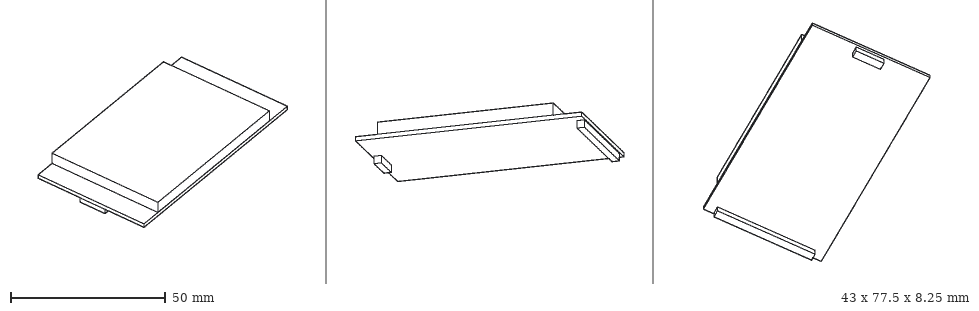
import cadquery as cq

BOARD_WIDTH = 43.0
BOARD_LENGTH = 77.5
BOARD_THICKNESS = 1.5

DISPLAY_HEIGHT = 4.2
DISPLAY_FRONT_MARGIN = 7.5
DISPLAY_REAR_MARGIN = 9.8

HEADER_DEPTH = 2.55
HEADER_HEIGHT = 2.55
FRONT_HEADER_WIDTH = 10.15
FRONT_HEADER_MARGIN = 0.8
REAR_HEADER_WIDTH = 35.65
REAR_HEADER_MARGIN = 0.3

BOARD_FRONT = -BOARD_LENGTH / 2
BOARD_REAR = BOARD_LENGTH / 2


def make_block(width, front, rear, bottom, height):
    """Rectangular block centred on X, from front to rear along Y."""
    return cq.Workplane("XY").box(width, rear - front, height, centered=(True, False, False)).translate(
        (0, front, bottom)
    )


def make_board():
    return make_block(BOARD_WIDTH, BOARD_FRONT, BOARD_REAR, 0, BOARD_THICKNESS)


def make_display():
    front = BOARD_FRONT + DISPLAY_FRONT_MARGIN
    rear = BOARD_REAR - DISPLAY_REAR_MARGIN
    return make_block(BOARD_WIDTH, front, rear, BOARD_THICKNESS, DISPLAY_HEIGHT)


def make_header(width, front):
    """Header whose top touches the underside of the board."""
    return make_block(width, front, front + HEADER_DEPTH, -HEADER_HEIGHT, HEADER_HEIGHT)


board = make_board()
display = make_display()

header_places = [
    (FRONT_HEADER_WIDTH, BOARD_FRONT + FRONT_HEADER_MARGIN),
    (REAR_HEADER_WIDTH, BOARD_REAR - REAR_HEADER_MARGIN - HEADER_DEPTH),
]
headers = [make_header(width, front) for width, front in header_places]

result = cq.Compound.makeCompound(
    [board.val(), display.val(), *[header.val() for header in headers]]
)